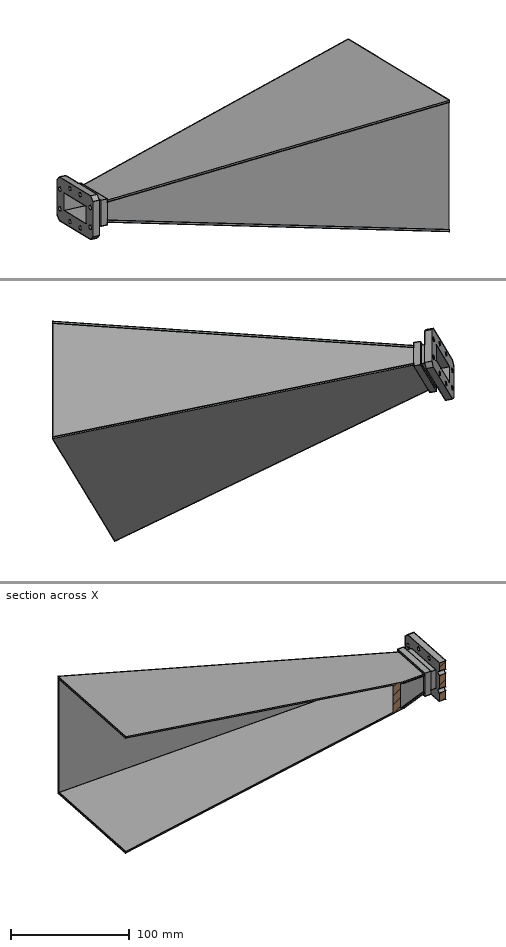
import cadquery as cq

total_length = 319.3
flange_thickness = 6.5
collar_start = 12.8
horn_start = 18.8

bore_width = 35.0
bore_height = 16.0
neck_width = 38.0
neck_height = 18.8

flange_width = 58.5
flange_height = 39.5
flange_corner = 3.8
collar_width = 42.8
collar_height = 23.5

upper_hole_diameter = 3.5
upper_hole_x = 8.3
upper_hole_z = 15.0
side_hole_diameter = 3.8
side_hole_x = 24.5
side_hole_z = 9.0

mouth_width = 163.8
mouth_height = 119.0
plate_thickness = 2.0
side_thickness = 1.5
side_inset = 0.5
throat_width = bore_width + 2 * (side_thickness + side_inset)
throat_height = bore_height + 2 * plate_thickness


def section(y):
    """Sketch plane at distance y, with local X along +X and local Y along +Z."""
    return cq.Workplane("XZ", origin=(0, y, 0))


def block(width, height, start, end):
    """Rectangular block centred on the Y axis, from start to end."""
    return section(start).rect(width, height).extrude(start - end)


def taper(throat, mouth):
    """Rectangular frustum from the throat to the mouth of the horn."""
    length = total_length - horn_start
    return section(horn_start).rect(*throat).workplane(offset=-length).rect(*mouth).loft(ruled=True)


def horn_envelope(width_loss, height_loss):
    """Horn outline reduced by the given total amounts in width and height."""
    throat = (throat_width - width_loss, throat_height - height_loss)
    mouth = (mouth_width - width_loss, mouth_height - height_loss)
    return taper(throat, mouth)


def make_horn():
    between_plates = horn_envelope(0, 2 * plate_thickness)
    side_walls = horn_envelope(2 * side_inset, 2 * plate_thickness)
    wide_plates = horn_envelope(0, 0).cut(between_plates)
    cavity = horn_envelope(2 * (side_inset + side_thickness), 2 * plate_thickness)
    return wide_plates.union(side_walls).cut(cavity)


def make_flange():
    flange = block(flange_width, flange_height, 0, flange_thickness).edges("|Y").chamfer(flange_corner)
    for x, z, diameter in (
        (upper_hole_x, upper_hole_z, upper_hole_diameter),
        (side_hole_x, side_hole_z, side_hole_diameter),
    ):
        holes = section(0).rect(2 * x, 2 * z, forConstruction=True).vertices().circle(diameter / 2)
        flange = flange.cut(holes.extrude(-flange_thickness))
    return flange


neck = block(neck_width, neck_height, flange_thickness, horn_start)
collar = block(collar_width, collar_height, collar_start, horn_start)
bore = block(bore_width, bore_height, 0, horn_start)

result = make_flange().union(neck).union(collar).cut(bore).union(make_horn())